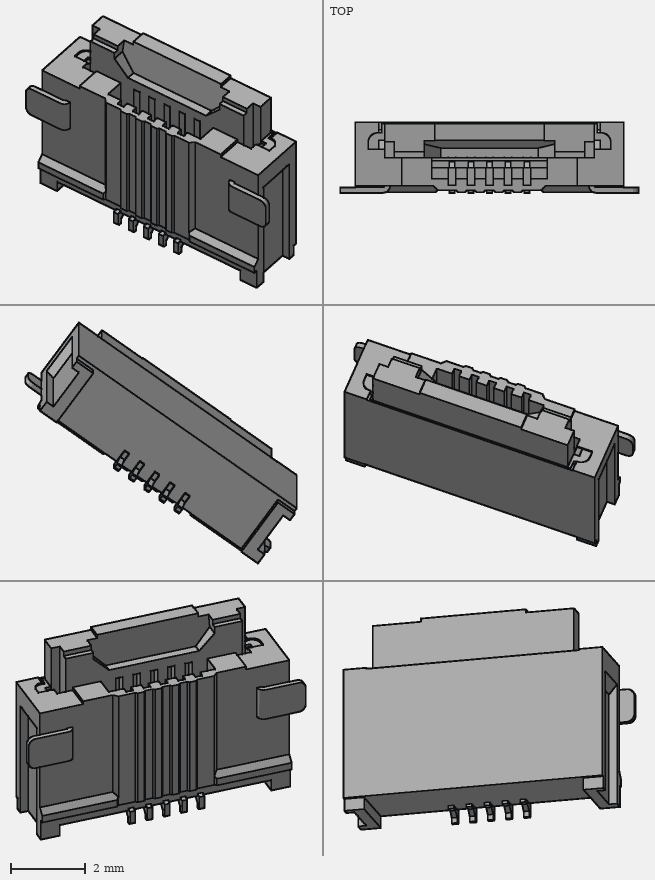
import cadquery as cq
import math


HALF_WIDTH = 3.6
FRONT_Y = -1.88
PANEL_Y = -1.83
SIDE_FACE_Y = -1.71
SHOULDER_Z = 3.95
RAISED_Z = 4.04
RAISED_HALF_WIDTH = 2.35
FLOOR_Z = 0.33
FOOT_INNER_X = 3.05
FOOT_REAR_Y = -0.10
FOOT_FRONT_Y = -1.78
RAIL_BOTTOM_Z = 0.60
SIDE_FACE_INNER_X = 1.50
SIDE_FACE_BOTTOM_Z = 0.98
PANEL_HALF_WIDTH = 1.39

CHANNEL_REAR_Y = -0.31
CHANNEL_FRONT_Y = -1.47
CHANNEL_DEPTH = 0.225
CHANNEL_TOP_Z = 3.36
CHANNEL_SLOPE_HEIGHT = 0.27

CONTACT_COUNT = 5
PITCH = 0.5
CONTACT_WIDTH = 0.15
CONTACT_SLOT_WIDTH = 0.20
TAIL_TOP_Z = 0.40
TAIL_BOTTOM_Z = -0.05
TAIL_THICKNESS = 0.15
TAIL_BEVEL = 0.04
TAIL_INNER_BEVEL = 0.15
TAIL_ROOT_Y = -1.40
RIB_BASE = 0.29
RIB_CREST = 0.19

SLIDER_REAR_Y = -0.05
SLIDER_FRONT_Y = -0.95
SLIDER_HALF_WIDTH = 2.55
EAR_HALF_WIDTH = 2.80
EAR_FRONT_Y = -0.525
SLIDER_TOP_Z = 5.13
LEDGE_Z = 4.99
LEDGE_REAR_Y = -0.80
CROWN_Z = 5.22
CROWN_HALF_WIDTH = 1.46
RECESS_HALF_WIDTH = 1.75
RECESS_BOTTOM_HALF_WIDTH = 1.30
RECESS_CORNER_Z = 4.79
RECESS_BOTTOM_Z = 4.34
RECESS_TOP_Y = -0.485
RECESS_BOTTOM_Y = -0.70
SLIDER_SLOT_TOP_Z = 4.03
SLIDER_SLOT_DEPTH = 0.25

POCKET_HALF_WIDTH = 1.54
POCKET_FRONT_Y = -1.52
POCKET_FLOOR_Z = 1.0
POCKET_STEP = 0.2
SHELF_REAR_Y = -1.04
SHELF_FRONT_Y = -1.23
CONTACT_REAR_Y = -1.06
CONTACT_SLOT_FRONT_Y = -1.69

LATCH_OUTER_X = 3.245
LATCH_INNER_X = 2.96
LATCH_REAR_Y = -0.29
LATCH_ARC_END_Y = -0.505
LATCH_FRONT_Y = -0.725
LATCH_DEPTH = 0.05
LATCH_SLOPE_REAR_Y = -0.49
LATCH_SLOPE_DROP = 0.08
REAR_STRIP_DEPTH = 0.03
GAP_OUTER_X = 2.885
GAP_STEP_Y = -0.20
EAR_POCKET_DEPTH = 0.6

CLIP_OUTER_X = 4.0
CLIP_FRONT_Y = -1.90
CLIP_THICKNESS = 0.15
CLIP_BEND_RADIUS = 0.20
CLIP_INNER_X = 2.66
CLIP_BOTTOM_Z = 2.38
CLIP_TOP_Z = 3.30
CLIP_CORNER_RADIUS = 0.20
CLIP_ROOT_DEPTH = 0.15

contact_positions = [PITCH * (i - (CONTACT_COUNT - 1) / 2) for i in range(CONTACT_COUNT)]
rib_positions = [x + PITCH / 2 for x in contact_positions[:-1]]


def box(x0, x1, y0, y1, z0, z1):
    """Axis-aligned box between two opposite corners, with each pair low to high."""
    return cq.Workplane("XY").box(x1 - x0, y1 - y0, z1 - z0, centered=False).translate((x0, y0, z0))


def centred_box(half_width, y0, y1, z0, z1):
    """Box symmetric about X = 0."""
    return box(-half_width, half_width, y0, y1, z0, z1)


def side_prism(points, x0, x1):
    """Prism along X from an outline of (y, z) points."""
    return cq.Workplane("YZ").workplane(offset=x0).polyline(points).close().extrude(x1 - x0)


def both_sides(shape):
    """The shape together with its mirror image about X = 0."""
    return shape.union(shape.mirror("YZ"))


def make_block():
    block = centred_box(HALF_WIDTH, FOOT_FRONT_Y, 0, FLOOR_Z, SHOULDER_Z)
    block = block.union(centred_box(HALF_WIDTH, FRONT_Y, FOOT_FRONT_Y, RAIL_BOTTOM_Z, SHOULDER_Z))
    block = block.union(
        centred_box(RAISED_HALF_WIDTH, FRONT_Y, SLIDER_FRONT_Y, RAIL_BOTTOM_Z, RAISED_Z)
    )
    foot = box(FOOT_INNER_X, HALF_WIDTH, FOOT_FRONT_Y, FOOT_REAR_Y, 0, FLOOR_Z)
    return block.union(both_sides(foot))


def make_side_face_cut():
    """Sunken face whose inner and lower borders slope out at 45 degrees to the front."""
    depth = SIDE_FACE_Y - FRONT_Y
    x_outer = HALF_WIDTH + depth
    z_top = RAISED_Z + depth

    def border(grow):
        return [
            (SIDE_FACE_INNER_X - grow, SIDE_FACE_BOTTOM_Z - grow),
            (x_outer, SIDE_FACE_BOTTOM_Z - grow),
            (x_outer, z_top),
            (SIDE_FACE_INNER_X - grow, z_top),
        ]

    cut = (
        cq.Workplane("XZ", origin=(0, SIDE_FACE_Y, 0))
        .polyline(border(0)).close()
        .workplane(offset=depth)
        .polyline(border(depth)).close()
        .loft(ruled=True)
    )
    return both_sides(cut)


def make_panel_cut():
    """Relief in front of the centre panel, with its sides bevelled at 45 degrees."""
    front_half_width = PANEL_HALF_WIDTH + PANEL_Y - FRONT_Y
    outline = [
        (-PANEL_HALF_WIDTH, PANEL_Y),
        (-front_half_width, FRONT_Y),
        (front_half_width, FRONT_Y),
        (PANEL_HALF_WIDTH, PANEL_Y),
    ]
    relief = cq.Workplane("XY").workplane(offset=RAIL_BOTTOM_Z).polyline(outline).close()
    return relief.extrude(RAISED_Z - RAIL_BOTTOM_Z)


def make_ribs():
    ribs = cq.Workplane("XY")
    for x in rib_positions:
        outline = [
            (x - RIB_BASE / 2, PANEL_Y),
            (x - RIB_CREST / 2, FRONT_Y),
            (x + RIB_CREST / 2, FRONT_Y),
            (x + RIB_BASE / 2, PANEL_Y),
        ]
        rib = cq.Workplane("XY").workplane(offset=RAIL_BOTTOM_Z).polyline(outline).close()
        ribs = ribs.union(rib.extrude(RAISED_Z - RAIL_BOTTOM_Z))
    return ribs


def make_end_channels():
    """Channels open at the underside, each closed at the top by a sloping face."""
    floor_x = HALF_WIDTH - CHANNEL_DEPTH
    outline = [
        (HALF_WIDTH, 0),
        (HALF_WIDTH, CHANNEL_TOP_Z),
        (floor_x, CHANNEL_TOP_Z - CHANNEL_SLOPE_HEIGHT),
        (floor_x, 0),
    ]
    channel = cq.Workplane("XZ", origin=(0, CHANNEL_REAR_Y, 0)).polyline(outline).close()
    return both_sides(channel.extrude(CHANNEL_REAR_Y - CHANNEL_FRONT_Y))


def make_slider():
    body_profile = [
        (SLIDER_REAR_Y, FLOOR_Z),
        (SLIDER_REAR_Y, SLIDER_TOP_Z),
        (LEDGE_REAR_Y, SLIDER_TOP_Z),
        (LEDGE_REAR_Y, LEDGE_Z),
        (SLIDER_FRONT_Y, LEDGE_Z),
        (SLIDER_FRONT_Y, FLOOR_Z),
    ]
    slider = side_prism(body_profile, -SLIDER_HALF_WIDTH, SLIDER_HALF_WIDTH)
    slider = slider.union(
        centred_box(EAR_HALF_WIDTH, EAR_FRONT_Y, SLIDER_REAR_Y, FLOOR_Z, SLIDER_TOP_Z)
    )
    slider = slider.union(
        centred_box(CROWN_HALF_WIDTH, RECESS_BOTTOM_Y, SLIDER_REAR_Y, SLIDER_TOP_Z, CROWN_Z)
    )
    return slider.cut(make_slider_recess())


def make_slider_recess():
    """Hexagonal front recess with a leaning rear face, deepest at the top."""
    outline = [
        (-RECESS_HALF_WIDTH, CROWN_Z),
        (-RECESS_HALF_WIDTH, RECESS_CORNER_Z),
        (-RECESS_BOTTOM_HALF_WIDTH, RECESS_BOTTOM_Z),
        (RECESS_BOTTOM_HALF_WIDTH, RECESS_BOTTOM_Z),
        (RECESS_HALF_WIDTH, RECESS_CORNER_Z),
        (RECESS_HALF_WIDTH, CROWN_Z),
    ]
    opening = cq.Workplane("XZ").polyline(outline).close().extrude(-SLIDER_FRONT_Y)
    lean_profile = [
        (RECESS_TOP_Y, CROWN_Z),
        (RECESS_BOTTOM_Y, RECESS_BOTTOM_Z),
        (SLIDER_FRONT_Y, RECESS_BOTTOM_Z),
        (SLIDER_FRONT_Y, CROWN_Z),
    ]
    return opening.intersect(side_prism(lean_profile, -RECESS_HALF_WIDTH, RECESS_HALF_WIDTH))


def make_pocket():
    """Cable pocket with a floor stepping down to the front, plus the contact slots."""
    middle_z = POCKET_FLOOR_Z + POCKET_STEP
    profile = [
        (SLIDER_FRONT_Y, RAISED_Z),
        (SLIDER_FRONT_Y, middle_z + POCKET_STEP),
        (SHELF_REAR_Y, middle_z + POCKET_STEP),
        (SHELF_REAR_Y, middle_z),
        (SHELF_FRONT_Y, middle_z),
        (SHELF_FRONT_Y, POCKET_FLOOR_Z),
        (POCKET_FRONT_Y, POCKET_FLOOR_Z),
        (POCKET_FRONT_Y, RAISED_Z),
    ]
    pocket = side_prism(profile, -POCKET_HALF_WIDTH, POCKET_HALF_WIDTH)
    half_slot = CONTACT_SLOT_WIDTH / 2
    slot_floor_z = POCKET_FLOOR_Z - POCKET_STEP
    slider_slot_rear_y = SLIDER_FRONT_Y + SLIDER_SLOT_DEPTH
    slider_slot_floor_z = middle_z + POCKET_STEP
    for x in contact_positions:
        front_slot = box(
            x - half_slot, x + half_slot, CONTACT_SLOT_FRONT_Y, SHELF_FRONT_Y, slot_floor_z, RAISED_Z
        )
        slider_slot = box(
            x - half_slot, x + half_slot, SLIDER_FRONT_Y, slider_slot_rear_y,
            slider_slot_floor_z, SLIDER_SLOT_TOP_Z,
        )
        pocket = pocket.union(front_slot).union(slider_slot)
    return pocket


def make_contacts():
    """Contact tips standing on the middle shelf and tails bent down in front of the housing."""
    tail_front_y = CLIP_FRONT_Y
    tail_rear_y = tail_front_y + TAIL_THICKNESS
    arm_bottom_z = TAIL_TOP_Z - TAIL_THICKNESS
    tail_profile = [
        (TAIL_ROOT_Y, TAIL_TOP_Z),
        (FOOT_FRONT_Y, TAIL_TOP_Z),
        (tail_front_y, TAIL_TOP_Z - TAIL_BEVEL),
        (tail_front_y, TAIL_BOTTOM_Z + TAIL_BEVEL),
        (tail_front_y + TAIL_BEVEL, TAIL_BOTTOM_Z),
        (tail_rear_y, TAIL_BOTTOM_Z),
        (tail_rear_y, arm_bottom_z - TAIL_INNER_BEVEL),
        (tail_rear_y + TAIL_INNER_BEVEL, arm_bottom_z),
        (TAIL_ROOT_Y, arm_bottom_z),
    ]
    shelf_z = POCKET_FLOOR_Z + POCKET_STEP
    tip_profile = [
        (CONTACT_REAR_Y, shelf_z),
        (CONTACT_REAR_Y, shelf_z + POCKET_STEP / 2),
        (SHELF_FRONT_Y, shelf_z + POCKET_STEP),
        (SHELF_FRONT_Y, shelf_z),
    ]
    contacts = cq.Workplane("XY")
    for x in contact_positions:
        for profile in (tail_profile, tip_profile):
            contacts = contacts.union(side_prism(profile, x - CONTACT_WIDTH / 2, x + CONTACT_WIDTH / 2))
    return contacts


def make_ear_pockets():
    """Openings in front of the slider ears."""
    opening = box(
        SLIDER_HALF_WIDTH, EAR_HALF_WIDTH, SLIDER_FRONT_Y, EAR_FRONT_Y,
        SHOULDER_Z - EAR_POCKET_DEPTH, RAISED_Z,
    )
    return both_sides(opening)


def make_sloping_notch(inner_x, rear_y, front_y):
    """Notch whose floor drops from the latch recess floor at the front to its rear wall."""
    floor_z = SHOULDER_Z - LATCH_DEPTH
    profile = [
        (front_y, SHOULDER_Z),
        (front_y, floor_z),
        (rear_y, floor_z - LATCH_SLOPE_DROP),
        (rear_y, SHOULDER_Z),
    ]
    return side_prism(profile, inner_x, LATCH_INNER_X)


def make_latch_recesses():
    """Shallow quarter-round recesses, sloping notches and clearance gaps beside the ears."""
    floor_z = SHOULDER_Z - LATCH_DEPTH
    arc_span_x = LATCH_OUTER_X - LATCH_INNER_X
    arc_span_y = LATCH_REAR_Y - LATCH_ARC_END_Y
    arc_middle = (
        LATCH_INNER_X + arc_span_x * math.sqrt(0.5),
        LATCH_ARC_END_Y + arc_span_y * math.sqrt(0.5),
    )
    recess = (
        cq.Workplane("XY").workplane(offset=floor_z)
        .moveTo(EAR_HALF_WIDTH, LATCH_REAR_Y)
        .lineTo(LATCH_INNER_X, LATCH_REAR_Y)
        .threePointArc(arc_middle, (LATCH_OUTER_X, LATCH_ARC_END_Y))
        .lineTo(LATCH_OUTER_X, LATCH_FRONT_Y)
        .lineTo(EAR_HALF_WIDTH, LATCH_FRONT_Y)
        .close().extrude(LATCH_DEPTH)
    )
    notch = make_sloping_notch(EAR_HALF_WIDTH, LATCH_SLOPE_REAR_Y, LATCH_FRONT_Y)
    gap_step = make_sloping_notch(GAP_OUTER_X, GAP_STEP_Y, LATCH_REAR_Y)
    gap = box(EAR_HALF_WIDTH, GAP_OUTER_X, LATCH_REAR_Y, SLIDER_REAR_Y, floor_z, SHOULDER_Z)
    rear_strip = box(0, LATCH_INNER_X, LATCH_REAR_Y, 0, SHOULDER_Z - REAR_STRIP_DEPTH, SHOULDER_Z)
    return both_sides(recess.union(notch).union(gap).union(gap_step).union(rear_strip))


def make_clips():
    """Flat solder clips whose inner ends bend back into the housing."""
    bend_x = CLIP_INNER_X + CLIP_BEND_RADIUS
    bend_y = CLIP_FRONT_Y + CLIP_BEND_RADIUS
    inner_radius = CLIP_BEND_RADIUS - CLIP_THICKNESS
    root_y = SIDE_FACE_Y + CLIP_ROOT_DEPTH
    diagonal = math.sqrt(0.5)
    clip = (
        cq.Workplane("XY").workplane(offset=CLIP_BOTTOM_Z)
        .moveTo(CLIP_OUTER_X, CLIP_FRONT_Y)
        .lineTo(bend_x, CLIP_FRONT_Y)
        .threePointArc(
            (bend_x - CLIP_BEND_RADIUS * diagonal, bend_y - CLIP_BEND_RADIUS * diagonal),
            (CLIP_INNER_X, bend_y),
        )
        .lineTo(CLIP_INNER_X, root_y)
        .lineTo(CLIP_INNER_X + CLIP_THICKNESS, root_y)
        .lineTo(CLIP_INNER_X + CLIP_THICKNESS, bend_y)
        .threePointArc(
            (bend_x - inner_radius * diagonal, bend_y - inner_radius * diagonal),
            (bend_x, CLIP_FRONT_Y + CLIP_THICKNESS),
        )
        .lineTo(CLIP_OUTER_X, CLIP_FRONT_Y + CLIP_THICKNESS)
        .close().extrude(CLIP_TOP_Z - CLIP_BOTTOM_Z)
    )
    clip = clip.edges(cq.selectors.BoxSelector(
        (CLIP_OUTER_X - CLIP_CORNER_RADIUS, CLIP_FRONT_Y, CLIP_BOTTOM_Z - CLIP_CORNER_RADIUS),
        (CLIP_OUTER_X + CLIP_CORNER_RADIUS, SIDE_FACE_Y, CLIP_TOP_Z + CLIP_CORNER_RADIUS),
    )).edges("|Y").fillet(CLIP_CORNER_RADIUS)
    return both_sides(clip)


housing = make_block().cut(make_side_face_cut())
housing = housing.cut(make_panel_cut())
housing = housing.union(make_ribs())
housing = housing.cut(make_end_channels())
housing = housing.cut(make_ear_pockets())
housing = housing.cut(make_latch_recesses())

result = housing.union(make_slider())
result = result.cut(make_pocket())
result = result.union(make_contacts())
result = result.union(make_clips())